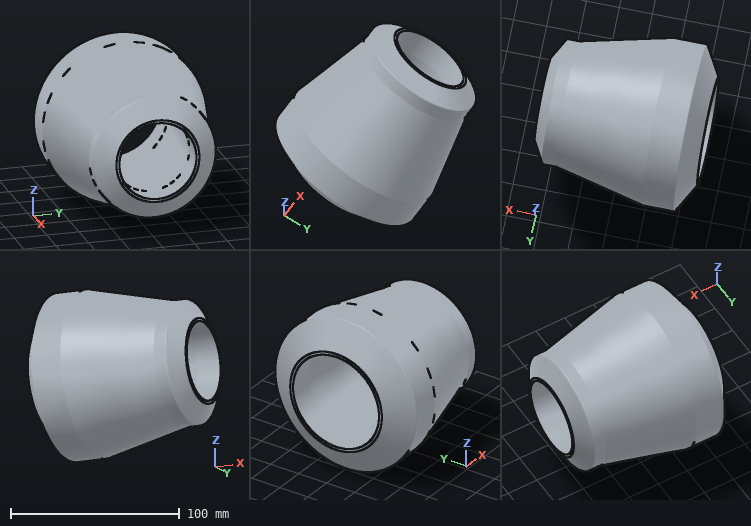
import cadquery as cq
import math

total_length = 100.0
large_diameter = 101.6
small_diameter = 76.1
large_bore = 61.6
small_bore = 47.7

large_land = 2.0
small_land = 1.8
bevel_angle = 30.0
large_straight = 19.5
bore_straight = 17.1
edge_round = 1.0
small_straight = 7.9

large_radius = large_diameter / 2
small_radius = small_diameter / 2
large_bore_radius = large_bore / 2
small_bore_radius = small_bore / 2
large_face_radius = large_bore_radius + large_land
small_face_radius = small_bore_radius + small_land

bevel_slope = math.tan(math.radians(bevel_angle))
large_bevel_end = (large_radius - large_face_radius) * bevel_slope
small_bevel_start = total_length - (small_radius - small_face_radius) * bevel_slope
taper_start = large_bevel_end + large_straight
taper_end = small_bevel_start - small_straight


def revolve_about_x(points):
    """Revolve a closed (x, radius) outline about the X axis."""
    return cq.Workplane("XY").polyline(points).close().revolve(360, (0, 0, 0), (1, 0, 0))


def round_inner_circles(body):
    """Round every circular edge except those lying on the two end planes."""
    end_circles = body.faces("<X or >X").edges().vals()
    edges = body.edges("%CIRCLE").filter(lambda edge: not any(edge.isSame(end) for end in end_circles))
    return edges.fillet(edge_round)


outer_body = revolve_about_x([
    (0, 0),
    (0, large_face_radius),
    (large_bevel_end, large_radius),
    (taper_start, large_radius),
    (taper_end, small_radius),
    (small_bevel_start, small_radius),
    (total_length, small_face_radius),
    (total_length, 0),
])

bore = revolve_about_x([
    (0, 0),
    (0, large_bore_radius),
    (bore_straight, large_bore_radius),
    (taper_end, small_bore_radius),
    (total_length, small_bore_radius),
    (total_length, 0),
])

result = round_inner_circles(outer_body).cut(round_inner_circles(bore))